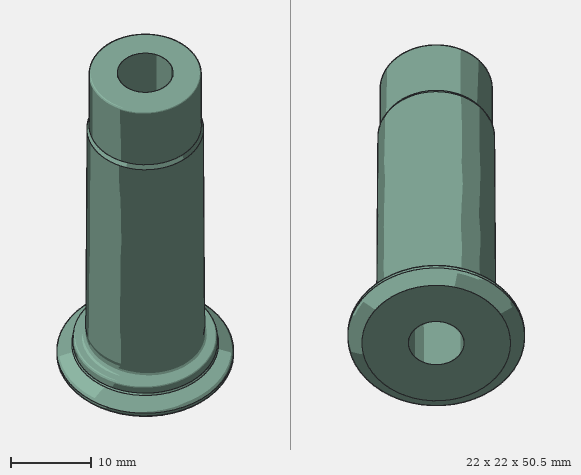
import cadquery as cq

total_height = 50.5
bore_diameter = 6.9

flange_radius = 11.0
foot_radius = 9.25
rim_edge_radius = 10.75
rim_bottom = 0.9
rim_band_bottom = 1.25
rim_band_top = 1.7
rim_top = 2.05
rim_bulge_radius = 10.9
flange_top = 3.0

collar_radius = 9.0
flange_cone_top_radius = 9.15
collar_bottom = 3.25
collar_top = 4.45
collar_rounding = 0.35

neck_radius = 7.3
neck_fillet = 0.7
groove_top = 5.6
body_bottom = 6.15

body_bottom_radius = 7.4
body_top_radius = 7.25
body_top = 40.7
spigot_radius = 6.995
spigot_bottom = 41.3
spigot_rounding = 0.3

quarter_mid = 0.5 ** 0.5

rim_lower_mid = (rim_bulge_radius, (rim_bottom + rim_band_bottom) / 2)
rim_upper_mid = (rim_bulge_radius, (rim_top + rim_band_top) / 2)
spigot_center = (spigot_radius - spigot_rounding, total_height - spigot_rounding)
spigot_mid = tuple(c + spigot_rounding * quarter_mid for c in spigot_center)
rounding_center = (collar_radius - collar_rounding, collar_top - collar_rounding)
rounding_mid = tuple(c + collar_rounding * quarter_mid for c in rounding_center)
fillet_center = (neck_radius + neck_fillet, collar_top + neck_fillet)
fillet_mid = tuple(c - neck_fillet * quarter_mid for c in fillet_center)

profile = (
    cq.Workplane("XZ")
    .moveTo(0, 0)
    .lineTo(foot_radius, 0)
    .lineTo(rim_edge_radius, rim_bottom)
    .threePointArc(rim_lower_mid, (flange_radius, rim_band_bottom))
    .lineTo(flange_radius, rim_band_top)
    .threePointArc(rim_upper_mid, (rim_edge_radius, rim_top))
    .lineTo(flange_cone_top_radius, flange_top)
    .lineTo(collar_radius, collar_bottom)
    .lineTo(collar_radius, rounding_center[1])
    .threePointArc(rounding_mid, (rounding_center[0], collar_top))
    .lineTo(fillet_center[0], collar_top)
    .threePointArc(fillet_mid, (neck_radius, fillet_center[1]))
    .lineTo(neck_radius, groove_top)
    .lineTo(body_bottom_radius, body_bottom)
    .lineTo(body_top_radius, body_top)
    .lineTo(spigot_radius, spigot_bottom)
    .lineTo(spigot_radius, spigot_center[1])
    .threePointArc(spigot_mid, (spigot_center[0], total_height))
    .lineTo(0, total_height)
    .close()
)
outer_body = profile.revolve(360, (0, 0), (0, 1))

bore = cq.Workplane("XY").circle(bore_diameter / 2).extrude(total_height)

result = outer_body.cut(bore)